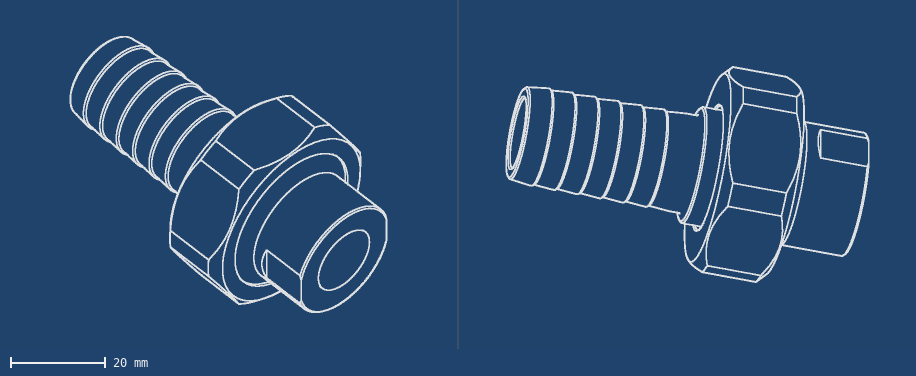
import cadquery as cq
import math

TOTAL_LENGTH = 73.5
BORE_RADIUS = 7.5

TIP_CHAMFER = 0.4
TIP_RADIUS = 9.9
BARB_COUNT = 6
BARB_PITCH = 5.0
BARB_RADIUS = 10.5
VALLEY_RADIUS = 10.15
BARB_STEP_LENGTH = 0.45
NECK_LENGTH = 2.2
NECK_START = (BARB_COUNT + 1) * BARB_PITCH
NECK_END = NECK_START + NECK_LENGTH
NECK_FILLET = 0.65
COLLAR_START = NECK_END + NECK_FILLET
COLLAR_RADIUS = 12.5
COLLAR_CHAMFER = 0.4
FLANGE_RADIUS = 15.15
FLANGE_THICKNESS = 2.95
FLANGE_FILLET = 0.7

NUT_START = 41.5
NUT_LENGTH = 15.95
NUT_END = NUT_START + NUT_LENGTH
NUT_ACROSS_FLATS = 41.0
NUT_CORNER_RADIUS = 22.35
NUT_CHAMFER = 2.1
NUT_LIP_THICKNESS = 2.7
NUT_LIP_RADIUS = 13.3
NUT_LIP_CHAMFER = 0.3
NUT_CAVITY_RADIUS = 16.55

FLANGE_START = NUT_START + NUT_LIP_THICKNESS
FLANGE_END = FLANGE_START + FLANGE_THICKNESS

SOCKET_RADIUS = 13.27
SOCKET_CHAMFER = 0.4
SHOULDER_CONE_INSET = 0.7
SHOULDER_CONE_START = NUT_END - SHOULDER_CONE_INSET
SHOULDER_CONE_LENGTH = 2.2
SHOULDER_STEP_LENGTH = 0.45
SHOULDER_STEP_HEIGHT = 0.6
SHOULDER_END_LENGTH = 0.45
FLAT_DISTANCE = 12.53
FLAT_START = 63.0
FLAT_RUNOUT = SOCKET_RADIUS - FLAT_DISTANCE


def revolve_about_x(profile):
    """Turn a closed outline, drawn as (x, radius), about the X axis."""
    return profile.close().revolve(360, (0, 0, 0), (1, 0, 0))


def make_hose_tail():
    profile = (
        cq.Workplane("XY")
        .moveTo(TIP_CHAMFER, BORE_RADIUS)
        .lineTo(0, BORE_RADIUS + TIP_CHAMFER)
        .lineTo(0, TIP_RADIUS - TIP_CHAMFER)
        .lineTo(TIP_CHAMFER, TIP_RADIUS)
    )
    for barb in range(1, BARB_COUNT + 1):
        barb_end = barb * BARB_PITCH
        profile = profile.lineTo(barb_end, BARB_RADIUS)
        profile = profile.lineTo(barb_end + BARB_STEP_LENGTH, VALLEY_RADIUS)
    profile = (
        profile.lineTo(NECK_START, BARB_RADIUS)
        .lineTo(NECK_END, BARB_RADIUS)
        .radiusArc((COLLAR_START, BARB_RADIUS + NECK_FILLET), -NECK_FILLET)
        .lineTo(COLLAR_START, COLLAR_RADIUS - COLLAR_CHAMFER)
        .lineTo(COLLAR_START + COLLAR_CHAMFER, COLLAR_RADIUS)
        .lineTo(FLANGE_START - FLANGE_FILLET, COLLAR_RADIUS)
        .radiusArc((FLANGE_START, COLLAR_RADIUS + FLANGE_FILLET), -FLANGE_FILLET)
        .lineTo(FLANGE_START, FLANGE_RADIUS)
        .lineTo(FLANGE_END, FLANGE_RADIUS)
        .lineTo(FLANGE_END, BORE_RADIUS)
    )
    return revolve_about_x(profile)


def make_union_nut():
    hexagon = (
        cq.Workplane("YZ", origin=(NUT_START, 0, 0))
        .polygon(6, NUT_ACROSS_FLATS / math.cos(math.pi / 6))
        .extrude(NUT_LENGTH)
    )
    blank = (
        cq.Workplane("YZ", origin=(NUT_START, 0, 0))
        .circle(NUT_CORNER_RADIUS)
        .extrude(NUT_LENGTH)
        .edges()
        .chamfer(NUT_CHAMFER)
    )
    opening = revolve_about_x(
        cq.Workplane("XY")
        .moveTo(NUT_START, 0)
        .lineTo(NUT_START, NUT_LIP_RADIUS + NUT_LIP_CHAMFER)
        .lineTo(NUT_START + NUT_LIP_CHAMFER, NUT_LIP_RADIUS)
        .lineTo(FLANGE_START, NUT_LIP_RADIUS)
        .lineTo(FLANGE_START, NUT_CAVITY_RADIUS)
        .lineTo(NUT_END, NUT_CAVITY_RADIUS)
        .lineTo(NUT_END, 0)
    )
    return hexagon.intersect(blank).cut(opening)


def make_flat_cutter():
    """Bar that mills the flat on the +Y side, with a 45 degree runout."""
    return (
        cq.Workplane("XY")
        .moveTo(FLAT_START, FLAT_DISTANCE)
        .lineTo(TOTAL_LENGTH, FLAT_DISTANCE)
        .lineTo(TOTAL_LENGTH, SOCKET_RADIUS)
        .lineTo(FLAT_START - FLAT_RUNOUT, SOCKET_RADIUS)
        .close()
        .extrude(SOCKET_RADIUS, both=True)
    )


def make_socket_end():
    cone_end = SHOULDER_CONE_START + SHOULDER_CONE_LENGTH
    cone_end_radius = NUT_CAVITY_RADIUS - SHOULDER_CONE_LENGTH
    step_end = cone_end + SHOULDER_STEP_LENGTH
    step_end_radius = cone_end_radius - SHOULDER_STEP_HEIGHT
    body = revolve_about_x(
        cq.Workplane("XY")
        .moveTo(FLANGE_END, BORE_RADIUS)
        .lineTo(FLANGE_END, NUT_CAVITY_RADIUS)
        .lineTo(SHOULDER_CONE_START, NUT_CAVITY_RADIUS)
        .lineTo(cone_end, cone_end_radius)
        .lineTo(step_end, step_end_radius)
        .lineTo(step_end + SHOULDER_END_LENGTH, SOCKET_RADIUS)
        .lineTo(TOTAL_LENGTH - SOCKET_CHAMFER, SOCKET_RADIUS)
        .lineTo(TOTAL_LENGTH, SOCKET_RADIUS - SOCKET_CHAMFER)
        .lineTo(TOTAL_LENGTH, BORE_RADIUS)
    )
    cutter = make_flat_cutter()
    return body.cut(cutter).cut(cutter.mirror("XZ"))


hose_tail = make_hose_tail()
union_nut = make_union_nut()
socket_end = make_socket_end()

result = cq.Compound.makeCompound([hose_tail.val(), union_nut.val(), socket_end.val()])